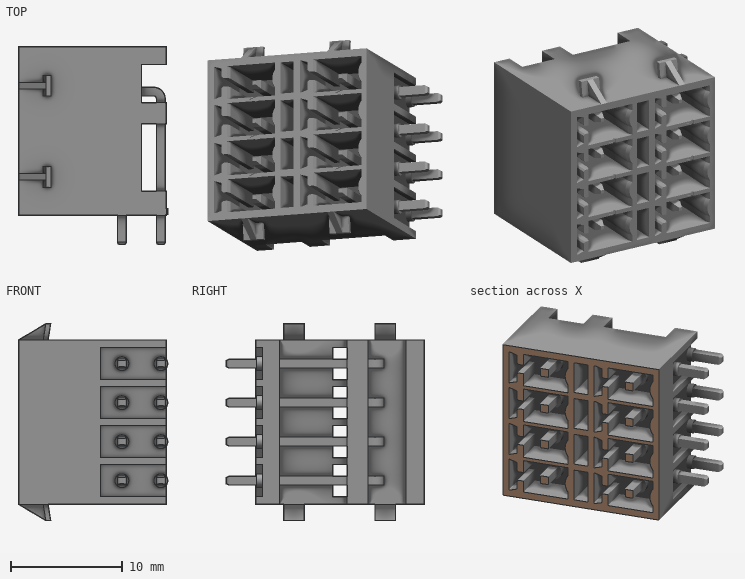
import cadquery as cq


BODY_X = 13.28
BODY_Y = 15.17
BODY_Z = 14.8
OUTER_WALL = 0.68
ROWS = 4
ROW_PITCH = 3.5
COLUMN_PITCH = 8.2
FIRST_COLUMN_Y = 2.92

CAVITY_DEPTH = 6.76
CAVITY_HALF_Z = 1.57
BUMP_WALL_Y = -2.42
BUMP_RISE = 0.28
BUMP_HALF_Z = 0.84
STUB_Y = 2.17
STUB_BACK_Y = 2.69
MOUTH_TAPER = 0.16
MOUTH_TAPER_X = 0.46
STEM_HALF_Z = 0.4
STUB_CORNER = 0.15
SLOT_END_Y = 3.4
SLOT_END_HALF_Z = 1.5
SLOT_NECK_HALF_Z = 1.28

NOTCH_BASE_Y = -0.68
NOTCH_SHOULDER_Y = -0.46
NOTCH_TIP_Y = 0.07
NOTCH_DEPTH = 0.15

WINDOW_Y = (6.95, 8.22)
WINDOW_Z = 2.87
REAR_X = 11.05
REAR_OPENINGS = ((2.17, WINDOW_Y[1]), (10.13, 13.55))
RECESS_X = 7.35
RECESS_DEPTH = 0.6

PIN = 0.8
PIN_TIP_X = 1.17
PIN_TIP_LENGTH = 0.71
PIN_TIP_SIZE = 0.32
FIRST_LEG_X = 9.27
BEND_INNER_RADIUS = 0.27
BEND_RADIUS = BEND_INNER_RADIUS + PIN / 2
LEG_END_Y = -2.63
LEG_END_ROUND = 0.25
LEG_END_BEVEL = 0.12
COLLAR_RADIUS = 0.62
COLLAR_LENGTH = 0.52
SOCKET_BOSS_RADIUS = 0.8

WING_SPAN_Z = 17.7
WING_HEIGHT = (WING_SPAN_Z - BODY_Z) / 2
WING_OFFSET_Y = 0.53
WING_WIDTH = 1.87
WING_RIB_WIDTH = 0.59
WING_ROOT_X = 2.2
WING_LEAN = 0.23
WING_THICKNESS = 0.45

row_z = [(row - (ROWS - 1) / 2) * ROW_PITCH for row in range(ROWS)]
web_z = [z + ROW_PITCH / 2 for z in row_z[:-1]]
columns = [
    (FIRST_COLUMN_Y, FIRST_LEG_X),
    (FIRST_COLUMN_Y + COLUMN_PITCH, FIRST_LEG_X + ROW_PITCH),
]


def box(x_range, y_range, z_range):
    """Axis-aligned box between three (low, high) pairs."""
    size = [high - low for low, high in (x_range, y_range, z_range)]
    corner = (x_range[0], y_range[0], z_range[0])
    return cq.Workplane("XY").box(*size, centered=False).translate(corner)


def cavity_outline(plane, inset):
    """Plug chamber with its keying bump, moved inward at both ends by inset."""
    bump_y = BUMP_WALL_Y + inset
    stub_y = STUB_Y - inset
    return (
        plane.moveTo(bump_y, -CAVITY_HALF_Z)
        .lineTo(stub_y, -CAVITY_HALF_Z)
        .lineTo(stub_y, CAVITY_HALF_Z)
        .lineTo(bump_y, CAVITY_HALF_Z)
        .lineTo(bump_y, BUMP_HALF_Z)
        .threePointArc((bump_y + BUMP_RISE, 0), (bump_y, -BUMP_HALF_Z))
        .close()
    )


def make_cavity():
    """Chamber, tapered mouth and T-slot of one contact on the axis Y = Z = 0."""
    chamber = cavity_outline(cq.Workplane("YZ"), MOUTH_TAPER).extrude(CAVITY_DEPTH)
    mouth_start = cavity_outline(cq.Workplane("YZ"), 0)
    mouth_plane = mouth_start.workplane(offset=MOUTH_TAPER_X)
    mouth = cavity_outline(mouth_plane, MOUTH_TAPER).loft(ruled=True)

    upper_edge = [
        (0, STEM_HALF_Z),
        (STUB_BACK_Y - STUB_CORNER, STEM_HALF_Z),
        (STUB_BACK_Y, STEM_HALF_Z + STUB_CORNER),
        (STUB_BACK_Y, SLOT_NECK_HALF_Z),
        (SLOT_END_Y, SLOT_END_HALF_Z),
    ]
    lower_edge = [(y, -z) for y, z in reversed(upper_edge)]
    t_slot = cq.Workplane("YZ").polyline(upper_edge + lower_edge).close().extrude(CAVITY_DEPTH)
    return chamber.union(mouth).union(t_slot)


def make_notch():
    """Pointed notch across a web between two cavities."""
    half_z = ROW_PITCH / 2 - CAVITY_HALF_Z
    outline = [
        (NOTCH_BASE_Y, -half_z),
        (NOTCH_SHOULDER_Y, -half_z),
        (NOTCH_TIP_Y, 0),
        (NOTCH_SHOULDER_Y, half_z),
        (NOTCH_BASE_Y, half_z),
    ]
    return cq.Workplane("YZ").polyline(outline).close().extrude(NOTCH_DEPTH)


def make_housing():
    half_z = BODY_Z / 2
    housing = box((0, BODY_X), (0, BODY_Y), (-half_z, half_z))
    for y_range in REAR_OPENINGS:
        housing = housing.cut(box((REAR_X, BODY_X), y_range, (-half_z, half_z)))

    cavity_limit = half_z - OUTER_WALL
    inside = box((0, BODY_X), (0, BODY_Y), (-cavity_limit, cavity_limit))
    cavity = make_cavity()
    notch = make_notch()
    for column_y, _ in columns:
        for z in row_z:
            housing = housing.cut(cavity.translate((0, column_y, z)).intersect(inside))
        for z in web_z:
            housing = housing.cut(notch.translate((0, column_y, z)))

    for z in row_z:
        window_z = (z - WINDOW_Z / 2, z + WINDOW_Z / 2)
        housing = housing.cut(box((0, BODY_X), WINDOW_Y, window_z))
        housing = housing.cut(box((RECESS_X, BODY_X), (0, RECESS_DEPTH), window_z))
    return housing


def make_contact(column_y, leg_x):
    """Bent square pin at Z = 0 with its collar and the boss at the cavity floor."""
    half = PIN / 2
    outer = BEND_RADIUS + half
    shank_x = PIN_TIP_X + PIN_TIP_LENGTH
    pin = (
        cq.Workplane("XY")
        .moveTo(shank_x, column_y + half)
        .lineTo(leg_x - BEND_RADIUS, column_y + half)
        .radiusArc((leg_x + half, column_y - BEND_RADIUS), outer)
        .lineTo(leg_x + half, LEG_END_Y)
        .lineTo(leg_x - half, LEG_END_Y)
        .lineTo(leg_x - half, column_y - BEND_RADIUS)
        .radiusArc((leg_x - BEND_RADIUS, column_y - half), -BEND_INNER_RADIUS)
        .lineTo(shank_x, column_y - half)
        .close()
        .extrude(half, both=True)
    )
    pin = pin.faces("<Y").edges("|Z").fillet(LEG_END_ROUND)

    upper_edge = [
        (LEG_END_Y, half - LEG_END_BEVEL),
        (LEG_END_Y + LEG_END_ROUND, half),
        (column_y + half, half),
    ]
    lower_edge = [(y, -z) for y, z in reversed(upper_edge)]
    bevelled = cq.Workplane("YZ").polyline(upper_edge + lower_edge).close().extrude(BODY_X)
    pin = pin.intersect(bevelled)

    tip = (
        cq.Workplane("YZ", origin=(PIN_TIP_X, column_y, 0))
        .rect(PIN_TIP_SIZE, PIN_TIP_SIZE)
        .workplane(offset=PIN_TIP_LENGTH)
        .rect(PIN, PIN)
        .loft(ruled=True)
    )
    collar = (
        cq.Workplane("XZ", origin=(leg_x, RECESS_DEPTH, 0))
        .circle(COLLAR_RADIUS)
        .extrude(COLLAR_LENGTH)
    )
    boss = (
        cq.Workplane("YZ", origin=(CAVITY_DEPTH, column_y, 0))
        .circle(SOCKET_BOSS_RADIUS)
        .extrude(-COLLAR_LENGTH)
    )
    return pin.union(tip).union(collar).union(boss)


def make_wing(column_y):
    """Leaning plate on the top face, braced by a rib from the mouth edge."""
    top_x = WING_ROOT_X + WING_LEAN
    plate = [
        (WING_ROOT_X, 0),
        (top_x, WING_HEIGHT),
        (top_x + WING_THICKNESS, WING_HEIGHT),
        (WING_ROOT_X + WING_THICKNESS, 0),
    ]
    rib = [(0, 0), (top_x, WING_HEIGHT), (WING_ROOT_X, 0)]
    root = cq.Workplane("XZ", origin=(0, column_y + WING_OFFSET_Y, BODY_Z / 2))
    wing = root.polyline(plate).close().extrude(WING_WIDTH / 2, both=True)
    return wing.union(root.polyline(rib).close().extrude(WING_RIB_WIDTH / 2, both=True))


result = make_housing()
for column_y, leg_x in columns:
    contact = make_contact(column_y, leg_x)
    for z in row_z:
        result = result.union(contact.translate((0, 0, z)))
    wing = make_wing(column_y)
    result = result.union(wing).union(wing.mirror("XY"))